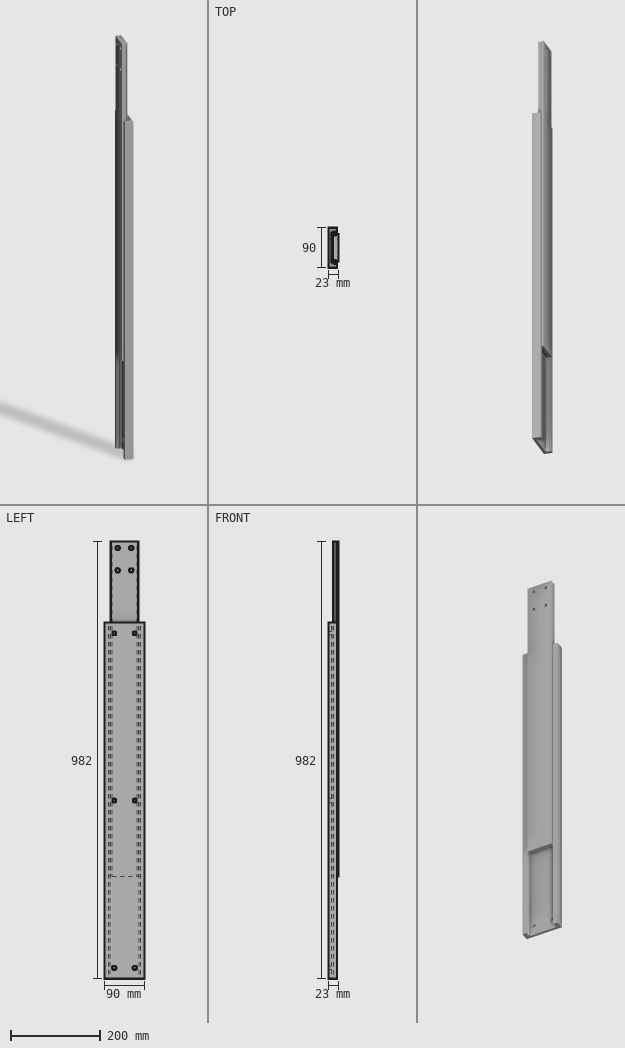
import cadquery as cq

housing_length = 800.0
housing_width = 90.0
housing_depth = 20.0
floor_thickness = 7.0
hole_end_offset = 25.0
housing_hole_spacing = 46.0
housing_hole_diameter = 8.3

total_length = 982.0
slider_length = 752.0
slider_width = 62.0
slider_back = 10.0
slider_front = 23.0
slider_hole_drops = (15.0, 65.0)
slider_hole_spacing = 30.0
slider_hole_diameter = 8.3

side_gap = 2.0
track_depth = 3.0
track_start = 12.0
track_end = 18.0

slider_bottom = total_length - slider_length
channel_width = slider_width + 2 * side_gap
track_middle = (track_start + track_end) / 2


def tracked_bar(back, front, width, depth, bottom, length):
    """Bar along Z with a rounded track on both sides; a positive depth bulges outward."""
    half = width / 2
    return (
        cq.Workplane("XY", origin=(0, 0, bottom))
        .moveTo(back, -half)
        .lineTo(track_start, -half)
        .threePointArc((track_middle, -half - depth), (track_end, -half))
        .lineTo(front, -half)
        .lineTo(front, half)
        .lineTo(track_end, half)
        .threePointArc((track_middle, half + depth), (track_start, half))
        .lineTo(back, half)
        .close()
        .extrude(length)
    )


def hole_pairs(heights, spacing, diameter):
    """Cutters along X: two holes, symmetric about Y = 0, at each height."""
    points = [(side * spacing / 2, height) for height in heights for side in (-1, 1)]
    return cq.Workplane("YZ").pushPoints(points).circle(diameter / 2).extrude(slider_front)


def make_housing():
    block = cq.Workplane("XY").box(
        housing_depth, housing_width, housing_length, centered=(False, True, False)
    )
    channel = tracked_bar(
        floor_thickness, housing_depth, channel_width, track_depth, 0, housing_length
    )
    heights = (hole_end_offset, housing_length / 2, housing_length - hole_end_offset)
    holes = hole_pairs(heights, housing_hole_spacing, housing_hole_diameter)
    return block.cut(channel).cut(holes)


def make_slider():
    bar = tracked_bar(
        slider_back, slider_front, slider_width, -track_depth, slider_bottom, slider_length
    )
    heights = [total_length - drop for drop in slider_hole_drops]
    holes = hole_pairs(heights, slider_hole_spacing, slider_hole_diameter)
    return bar.cut(holes)


housing = make_housing()
slider = make_slider()

result = cq.Compound.makeCompound([housing.val(), slider.val()])